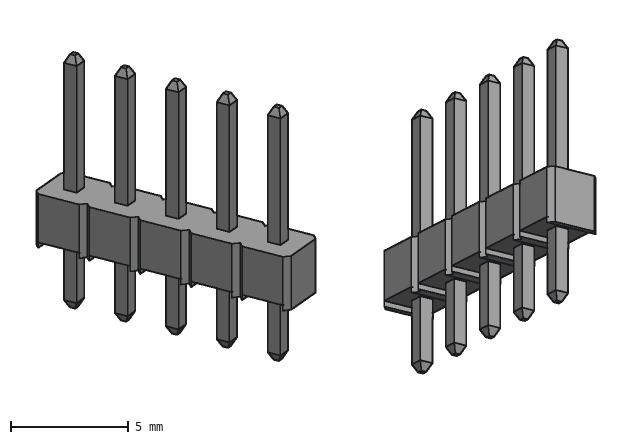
import cadquery as cq

pin_count = 5
pitch = 2.54
corner_chamfer = 0.25
channel_depth = 0.25

pin_width = 0.64
pin_above = 6.35
pin_below = 3.05
tip_length = 0.38
tip_width = 0.25

housing_height = pitch
channel_width = pitch - 2 * corner_chamfer
shank_length = pin_above + housing_height + pin_below - 2 * tip_length
shank_bottom = tip_length - pin_below
shank_top = shank_bottom + shank_length
pin_positions = [(i - (pin_count - 1) / 2) * pitch for i in range(pin_count)]


def housing_cell():
    """One chamfered block with a channel running along Y through its underside."""
    block = (
        cq.Workplane("XY")
        .box(pitch, pitch, housing_height, centered=(True, True, False))
        .edges("|Z")
        .chamfer(corner_chamfer)
    )
    channel = cq.Workplane("XY").box(
        channel_width, pitch, channel_depth, centered=(True, True, False)
    )
    return block.cut(channel)


def pin_tip(base_z, direction):
    """Truncated pyramid pointing up (direction 1) or down (direction -1)."""
    return (
        cq.Workplane("XY", origin=(0, 0, base_z))
        .rect(pin_width, pin_width)
        .workplane(offset=direction * tip_length)
        .rect(tip_width, tip_width)
        .loft(ruled=True)
    )


def pin():
    """Square pin with a tapered tip at each end."""
    shank = (
        cq.Workplane("XY", origin=(0, 0, shank_bottom))
        .rect(pin_width, pin_width)
        .extrude(shank_length)
    )
    return shank.union(pin_tip(shank_top, 1)).union(pin_tip(shank_bottom, -1))


result = cq.Workplane("XY")
for x in pin_positions:
    position = (x, 0, 0)
    result = result.union(housing_cell().translate(position))
    result = result.union(pin().translate(position))
result = result.clean()